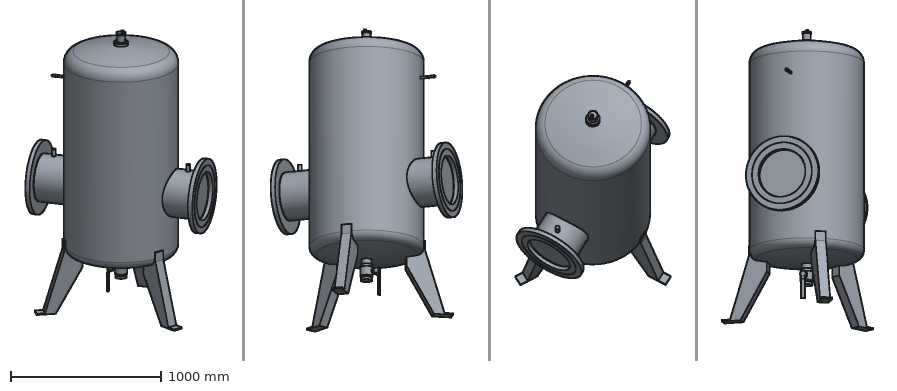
import cadquery as cq
import math

total_height = 1960.0

tank_radius = 382.0
shell_bottom = 457.0
shell_top = 1730.0
top_head_height = 130.0
top_knuckle_radius = 86.0
bottom_head_height = 96.0
bottom_knuckle_radius = 59.0
tank_top = shell_top + top_head_height
tank_bottom = shell_bottom - bottom_head_height

nozzle_height = 857.0
nozzle_radius = 163.0
flange_radius = 250.0
flange_face_x = 590.0
flange_thickness = 33.0
raised_face_radius = 208.0
raised_face_height = 2.0
recess_depth = 30.0
stub_radius = 14.0
stub_x = 472.0
stub_top = 1066.0

sensor_height = 1585.0
sensor_rod_radius = 8.0
sensor_head_radius = 8.8
sensor_tip_radius = 4.0
sensor_head_start = 460.0
sensor_head_end = 480.0
sensor_tip_end = 488.0

vent_base_radius = 47.0
vent_base_top = 1882.0
vent_base_chamfer = 4.0
vent_body_radius = 27.0
vent_cap_radius = 31.0
vent_cap_bottom = 1930.0
vent_cap_top = 1942.0
valve_x = 12.0
valve_seat_radius = 10.0
valve_seat_top = 1948.0
valve_neck_radius = 4.9
valve_disc_radius = 8.0
valve_disc_thickness = 4.0

drain_pipe_radius = 34.3
drain_collar_radius = 40.0
drain_body_radius = 43.0
drain_groove_radius = 37.0
drain_collar_top = 327.0
drain_body_top = 308.0
drain_body_bottom = 247.0
drain_groove_bottom = 235.0
drain_bottom = 218.0

handle_height = 278.0
stem_radius = 14.7
knob_radius = 20.5
knob_inner_x = 55.0
knob_outer_x = 90.0
handle_width = 27.0
handle_thickness = 8.0
handle_root_top = 260.0
handle_bend_height = 243.0
handle_bottom = 110.0

leg_count = 3
first_leg_angle = 90.0
leg_width = 70.0
leg_pad_radius = 390.0
leg_pad_top = 502.0
leg_pad_bottom = 440.0
leg_outer_foot = 521.0
leg_inner_foot = 449.0
leg_inner_top = 267.0
leg_inner_corner_height = 320.0
foot_end = 578.0
foot_thickness = 10.0


def upright_cylinder(radius, bottom, top, x=0.0):
    """Cylinder parallel to Z between two heights."""
    return cq.Workplane("XY", origin=(x, 0, bottom)).circle(radius).extrude(top - bottom)


def level_cylinder(radius, height, x_start, x_end):
    """Cylinder parallel to X at the given height."""
    return cq.Workplane("YZ", origin=(x_start, 0, height)).circle(radius).extrude(x_end - x_start)


def head_arcs(head_height, knuckle_radius):
    """Points (radius, rise above the shell) of a knuckle arc and the crown arc tangent to it."""
    knuckle_centre = tank_radius - knuckle_radius
    crown_radius = (knuckle_centre**2 + head_height**2 - knuckle_radius**2) / (
        2 * (head_height - knuckle_radius)
    )
    crown_centre = head_height - crown_radius
    crown_angle = math.asin(knuckle_centre / (crown_radius - knuckle_radius))

    def on_crown(angle):
        return (crown_radius * math.sin(angle), crown_centre + crown_radius * math.cos(angle))

    middle_angle = (crown_angle + math.pi / 2) / 2
    knuckle_middle = (
        knuckle_centre + knuckle_radius * math.sin(middle_angle),
        knuckle_radius * math.cos(middle_angle),
    )
    return knuckle_middle, on_crown(crown_angle), on_crown(crown_angle / 2)


def make_tank():
    top_knuckle, top_join, top_crown = head_arcs(top_head_height, top_knuckle_radius)
    low_knuckle, low_join, low_crown = head_arcs(bottom_head_height, bottom_knuckle_radius)

    def above(point):
        return (point[0], shell_top + point[1])

    def below(point):
        return (point[0], shell_bottom - point[1])

    profile = (
        cq.Workplane("XZ")
        .moveTo(0, tank_bottom)
        .threePointArc(below(low_crown), below(low_join))
        .threePointArc(below(low_knuckle), (tank_radius, shell_bottom))
        .lineTo(tank_radius, shell_top)
        .threePointArc(above(top_knuckle), above(top_join))
        .threePointArc(above(top_crown), (0, tank_top))
        .close()
    )
    return profile.revolve(360, (0, 0, 0), (0, 1, 0))


def make_nozzle(side):
    """Flanged pipe with a blind recess and a small stub; side is +1 for +X and -1 for -X."""
    rim_face_x = flange_face_x - raised_face_height
    flange_back_x = flange_face_x - flange_thickness
    pipe = level_cylinder(nozzle_radius, nozzle_height, 0, side * flange_back_x)
    flange = level_cylinder(flange_radius, nozzle_height, side * flange_back_x, side * rim_face_x)
    raised_face = level_cylinder(
        raised_face_radius, nozzle_height, side * flange_back_x, side * flange_face_x
    )
    recess_floor_x = flange_face_x - recess_depth
    recess = level_cylinder(nozzle_radius, nozzle_height, side * recess_floor_x, side * flange_face_x)
    stub = upright_cylinder(stub_radius, nozzle_height, stub_top, side * stub_x)
    return pipe.union(flange.union(raised_face).cut(recess)).union(stub)


def make_sensor():
    rod = level_cylinder(sensor_rod_radius, sensor_height, 0, -sensor_head_start)
    head = level_cylinder(sensor_head_radius, sensor_height, -sensor_head_start, -sensor_head_end)
    tip = level_cylinder(sensor_tip_radius, sensor_height, -sensor_head_end, -sensor_tip_end)
    return rod.union(head).union(tip)


def make_vent():
    base = upright_cylinder(vent_base_radius, shell_top, vent_base_top)
    base = base.faces(">Z").chamfer(vent_base_chamfer)
    disc_bottom = total_height - valve_disc_thickness
    return (
        base.union(upright_cylinder(vent_body_radius, vent_base_top, vent_cap_bottom))
        .union(upright_cylinder(vent_cap_radius, vent_cap_bottom, vent_cap_top))
        .union(upright_cylinder(valve_seat_radius, vent_cap_top, valve_seat_top, valve_x))
        .union(upright_cylinder(valve_neck_radius, valve_seat_top, disc_bottom, valve_x))
        .union(upright_cylinder(valve_disc_radius, disc_bottom, total_height, valve_x))
    )


def make_drain():
    return (
        upright_cylinder(drain_pipe_radius, drain_collar_top, shell_bottom)
        .union(upright_cylinder(drain_collar_radius, drain_body_top, drain_collar_top))
        .union(upright_cylinder(drain_body_radius, drain_body_bottom, drain_body_top))
        .union(upright_cylinder(drain_groove_radius, drain_groove_bottom, drain_body_bottom))
        .union(upright_cylinder(drain_collar_radius, drain_bottom, drain_groove_bottom))
    )


def make_handle():
    """Stem and knob with a lever that slopes outward from the knob and then hangs straight down."""
    stem = level_cylinder(stem_radius, handle_height, 0, -knob_outer_x)
    knob = level_cylinder(knob_radius, handle_height, -knob_inner_x, -knob_outer_x)
    lever_outer_x = knob_outer_x + handle_thickness / 2
    lever_inner_x = lever_outer_x - handle_thickness
    lever = (
        cq.Workplane("XZ")
        .polyline(
            [
                (-knob_inner_x, handle_root_top),
                (-knob_outer_x, handle_root_top),
                (-lever_outer_x, handle_bend_height),
                (-lever_outer_x, handle_bottom),
                (-lever_inner_x, handle_bottom),
                (-lever_inner_x, handle_bend_height),
            ]
        )
        .close()
        .extrude(handle_width / 2, both=True)
    )
    return stem.union(knob).union(lever)


def make_leg():
    """Leg reaching out along +X, with a pad against the shell and a flat foot plate."""
    return (
        cq.Workplane("XZ")
        .polyline(
            [
                (leg_inner_top, leg_pad_top),
                (leg_pad_radius, leg_pad_top),
                (leg_pad_radius, leg_pad_bottom),
                (leg_outer_foot, foot_thickness),
                (foot_end, foot_thickness),
                (foot_end, 0),
                (leg_inner_foot, 0),
                (leg_inner_top, leg_inner_corner_height),
            ]
        )
        .close()
        .extrude(leg_width / 2, both=True)
    )


result = make_tank()
for nozzle_side in (-1, 1):
    result = result.union(make_nozzle(nozzle_side))
for attachment in (make_sensor(), make_vent(), make_drain(), make_handle()):
    result = result.union(attachment)
for leg_index in range(leg_count):
    leg_angle = first_leg_angle + leg_index * 360 / leg_count
    result = result.union(make_leg().rotate((0, 0, 0), (0, 0, 1), leg_angle))